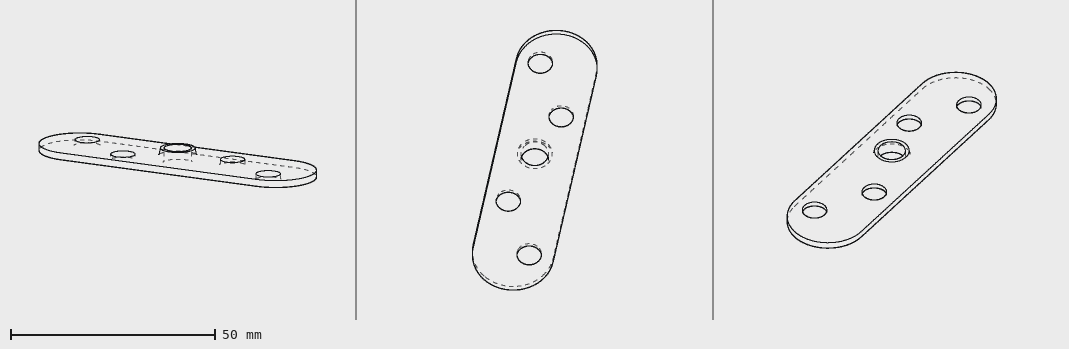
import cadquery as cq
import math

plate_length = 74.0
plate_width = 20.0
plate_thickness = 1.8

total_height = 4.0
bore_diameter = 6.65
bore_rim_radius = 2.0 / 2
collar_top_diameter = 8.5
collar_draft = 9.5
collar_fillet = bore_rim_radius

mount_hole_diameter = 6.0
mount_hole_rim_radius = 1.7 / 2
mount_hole_offset = plate_width / 5
outer_hole_distance = (plate_length - plate_width) / 2
inner_hole_distance = 13.0
mount_hole_centers = [
    (-outer_hole_distance, mount_hole_offset),
    (inner_hole_distance, mount_hole_offset),
    (-inner_hole_distance, -mount_hole_offset),
    (outer_hole_distance, -mount_hole_offset),
]


def make_plate():
    """Flat plate resting on Z = 0, with its long side along X."""
    return cq.Workplane("XY").slot2D(plate_length, plate_width).extrude(plate_thickness)


def make_collar():
    """Solid cone that widens downward and blends tangentially into the plate."""
    draft = math.radians(collar_draft)
    collar_height = total_height - plate_thickness
    top_radius = collar_top_diameter / 2
    wall_foot_radius = top_radius + collar_height * math.tan(draft)
    center_radius = wall_foot_radius + collar_fillet * (1 / math.cos(draft) - math.tan(draft))
    center_z = plate_thickness + collar_fillet

    def fillet_point(angle):
        radius = center_radius - collar_fillet * math.cos(angle)
        height = center_z - collar_fillet * math.sin(angle)
        return (radius, height)

    mid_angle = (draft + math.pi / 2) / 2
    profile = (
        cq.Workplane("XZ")
        .moveTo(0, 0)
        .lineTo(center_radius, 0)
        .lineTo(center_radius, plate_thickness)
        .threePointArc(fillet_point(mid_angle), fillet_point(draft))
        .lineTo(top_radius, total_height)
        .lineTo(0, total_height)
        .close()
    )
    return profile.revolve(360, (0, 0, 0), (0, 1, 0))


def make_hole(diameter, height, rim_radius):
    """Cutter standing on Z = 0 for a straight hole whose bottom rim is rounded outward."""
    radius = diameter / 2
    rim_mid = rim_radius * (1 - math.cos(math.pi / 4))
    profile = (
        cq.Workplane("XZ")
        .moveTo(0, 0)
        .lineTo(radius + rim_radius, 0)
        .threePointArc((radius + rim_mid, rim_mid), (radius, rim_radius))
        .lineTo(radius, height)
        .lineTo(0, height)
        .close()
    )
    return profile.revolve(360, (0, 0, 0), (0, 1, 0))


result = make_plate().union(make_collar())
result = result.cut(make_hole(bore_diameter, total_height, bore_rim_radius))
mount_hole = make_hole(mount_hole_diameter, plate_thickness, mount_hole_rim_radius)
for x, y in mount_hole_centers:
    result = result.cut(mount_hole.translate((x, y, 0)))